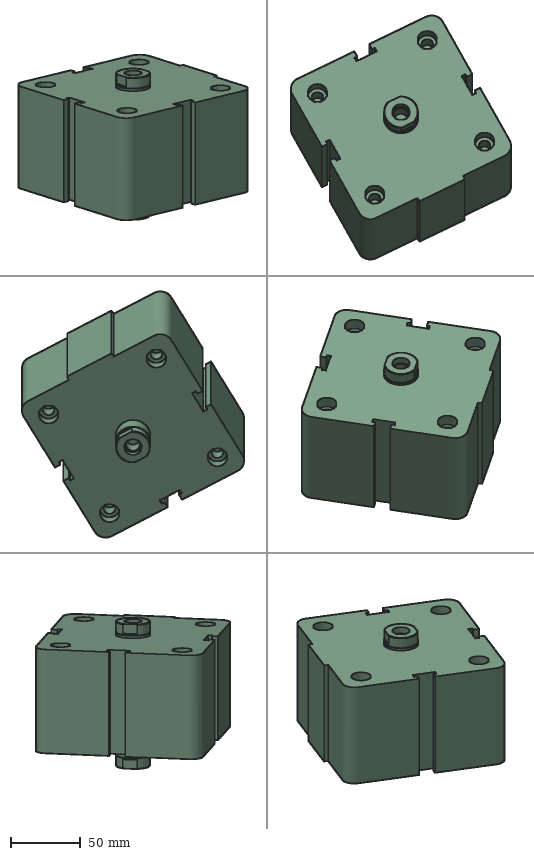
import cadquery as cq

housing_width = 122.0
housing_height = 76.5
corner_radius = 9.0
pad_root_width = 37.4
pad_crest_width = 36.4
pad_height = 3.0

slot_mouth_width = 12.0
slot_head_width = 16.5
slot_lip_depth = 4.5
slot_depth = 7.5

mount_spacing = 89.0
mount_bore_diameter = 14.0
mount_bore_depth = 8.5
mount_hole_diameter = 8.38
mount_hole_depth = 19.6

rod_diameter = 25.0
rod_reach_above = 10.0
rod_reach_below = 20.0
end_diameter = 24.5
end_length = 8.0
end_chamfer = 0.4
shoulder_chamfer = (rod_diameter - end_diameter) / 2
flat_spacing = 22.0
flat_length = 7.0
rod_mouth_diameter = 12.3
rod_mouth_depth = 5.0
rod_hole_diameter = 10.11
rod_hole_depth = 16.0


def stepped_hole(mouth_diameter, mouth_depth, hole_diameter, hole_depth):
    """Cutter for a flat-bottomed stepped hole that opens at z = 0 and goes down."""
    mouth = cq.Workplane("XY").circle(mouth_diameter / 2).extrude(-mouth_depth)
    hole = cq.Workplane("XY").circle(hole_diameter / 2).extrude(-hole_depth)
    return mouth.union(hole)


def facing_down(shape):
    """Turn a shape made for an upper end over, for use at a lower end."""
    return shape.rotate((0, 0, 0), (1, 0, 0), 180)


def t_slot():
    """Cutter for the T-slot in the -Y side."""
    side = -housing_width / 2
    mouth = cq.Workplane("XY").rect(slot_mouth_width, 2 * slot_depth).extrude(housing_height)
    head_depth = slot_depth - slot_lip_depth
    head = (
        cq.Workplane("XY")
        .center(0, slot_lip_depth + head_depth / 2)
        .rect(slot_head_width, head_depth)
        .extrude(housing_height)
    )
    return mouth.union(head).translate((0, side, 0))


def make_housing():
    block = (
        cq.Workplane("XY")
        .rect(housing_width, housing_width)
        .extrude(housing_height)
        .edges("|Z")
        .fillet(corner_radius)
    )

    back = housing_width / 2
    crest = back + pad_height
    sunk = back - corner_radius
    pad = (
        cq.Workplane("XY")
        .moveTo(-pad_root_width / 2, sunk)
        .lineTo(-pad_root_width / 2, back)
        .lineTo(-pad_crest_width / 2, crest)
        .lineTo(pad_crest_width / 2, crest)
        .lineTo(pad_root_width / 2, back)
        .lineTo(pad_root_width / 2, sunk)
        .close()
        .extrude(housing_height)
    )
    body = block.union(pad)

    for angle in (-90, 0, 90):
        body = body.cut(t_slot().rotate((0, 0, 0), (0, 0, 1), angle))

    mount = stepped_hole(mount_bore_diameter, mount_bore_depth, mount_hole_diameter, mount_hole_depth)
    for x_side in (-1, 1):
        for y_side in (-1, 1):
            x = x_side * mount_spacing / 2
            y = y_side * mount_spacing / 2
            body = body.cut(mount.translate((x, y, housing_height)))
            body = body.cut(facing_down(mount).translate((x, y, 0)))

    rod_bore = cq.Workplane("XY").circle(rod_diameter / 2).extrude(housing_height)
    return body.cut(rod_bore)


def rod_end():
    """Upper rod end standing on z = 0: a chamfered stub with two wrench flats facing -Y and +Y."""
    stub = (
        cq.Workplane("XY")
        .circle(end_diameter / 2)
        .extrude(end_length)
        .faces(">Z")
        .chamfer(end_chamfer)
    )
    below_flats = cq.Workplane("XY").circle(rod_diameter / 2).extrude(end_length - flat_length)
    between_flats = cq.Workplane("XY").rect(rod_diameter, flat_spacing).extrude(end_length)
    return stub.intersect(below_flats.union(between_flats))


def make_rod():
    shank_bottom = end_length - rod_reach_below
    shank_top = housing_height + rod_reach_above - end_length
    shank = (
        cq.Workplane("XY")
        .workplane(offset=shank_bottom)
        .circle(rod_diameter / 2)
        .extrude(shank_top - shank_bottom)
        .faces("<Z or >Z")
        .chamfer(shoulder_chamfer)
    )
    upper_end = rod_end().translate((0, 0, shank_top))
    lower_end = facing_down(rod_end()).translate((0, 0, shank_bottom))
    whole = shank.union(upper_end).union(lower_end)

    hole = stepped_hole(rod_mouth_diameter, rod_mouth_depth, rod_hole_diameter, rod_hole_depth)
    upper_hole = hole.translate((0, 0, housing_height + rod_reach_above))
    lower_hole = facing_down(hole).translate((0, 0, -rod_reach_below))
    return whole.cut(upper_hole).cut(lower_hole)


housing = make_housing()
piston_rod = make_rod()
result = cq.Compound.makeCompound([housing.val(), piston_rod.val()])